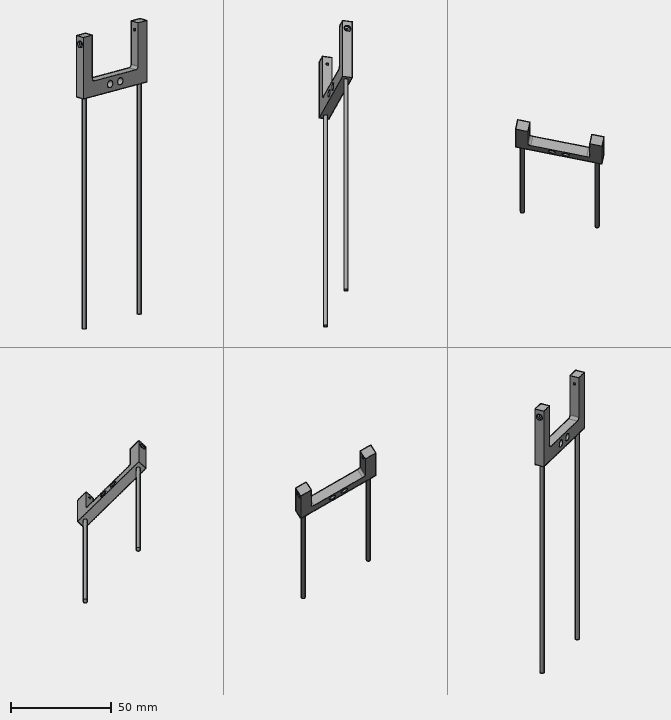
import cadquery as cq

TOTAL_HEIGHT = 152.0
BRACKET_THICKNESS = 5.0
BRACKET_WIDTH = 44.0
BRACKET_HEIGHT = 31.9
ARM_WIDTH = 6.2
BASE_HEIGHT = 7.9
INNER_CORNER_RADIUS = 1.5

MOUNT_HOLE_DIAMETER = 3.6
MOUNT_HOLE_SPACING = 7.0
MOUNT_HOLE_HEIGHT = 4.1

SENSOR_DROP = 4.1
SENSOR_BORE_DIAMETER = 3.3
SENSOR_APERTURE_DIAMETER = 1.2
SENSOR_BORE_DEPTH = 1.2

CABLE_DIAMETER = 2.1
CABLE_SPACING = 38.0

BRACKET_BOTTOM = TOTAL_HEIGHT - BRACKET_HEIGHT
HALF_WIDTH = BRACKET_WIDTH / 2


def make_bracket():
    """Fork with two mounting holes and a stepped bore in each arm."""
    slot_width = BRACKET_WIDTH - 2 * ARM_WIDTH
    slot_height = BRACKET_HEIGHT - BASE_HEIGHT
    body = cq.Workplane("XY").box(
        BRACKET_THICKNESS, BRACKET_WIDTH, BRACKET_HEIGHT, centered=(True, True, False)
    )
    slot = (
        cq.Workplane("XY")
        .box(BRACKET_THICKNESS, slot_width, slot_height, centered=(True, True, False))
        .edges("|X and <Z")
        .fillet(INNER_CORNER_RADIUS)
        .translate((0, 0, BASE_HEIGHT))
    )
    mount_holes = (
        cq.Workplane("YZ")
        .pushPoints([(side * MOUNT_HOLE_SPACING / 2, MOUNT_HOLE_HEIGHT) for side in (-1, 1)])
        .circle(MOUNT_HOLE_DIAMETER / 2)
        .extrude(BRACKET_THICKNESS, both=True)
    )
    body = body.cut(slot).cut(mount_holes)

    sensor_height = BRACKET_HEIGHT - SENSOR_DROP
    for side in (-1, 1):
        outer_face = cq.Vector(0, side * HALF_WIDTH, sensor_height)
        inward = cq.Vector(0, -side, 0)
        bore = cq.Solid.makeCylinder(SENSOR_BORE_DIAMETER / 2, SENSOR_BORE_DEPTH, outer_face, inward)
        aperture = cq.Solid.makeCylinder(SENSOR_APERTURE_DIAMETER / 2, ARM_WIDTH, outer_face, inward)
        body = body.cut(cq.Workplane(bore)).cut(cq.Workplane(aperture))

    return body.translate((0, 0, BRACKET_BOTTOM))


def make_cable(y_position):
    """Round cable from Z = 0 up to the underside of the bracket."""
    return (
        cq.Workplane("XY")
        .center(0, y_position)
        .circle(CABLE_DIAMETER / 2)
        .extrude(BRACKET_BOTTOM)
    )


bracket = make_bracket()
cables = [make_cable(side * CABLE_SPACING / 2) for side in (-1, 1)]

result = cq.Compound.makeCompound([bracket.val(), *[cable.val() for cable in cables]])